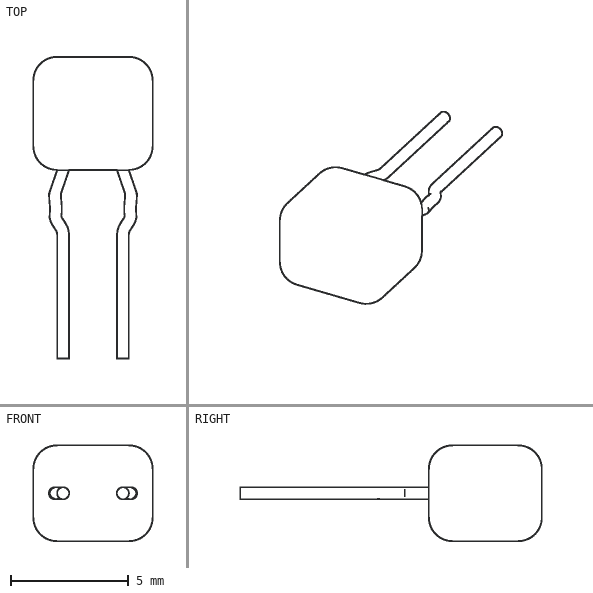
import cadquery as cq

total_length = 12.84
housing_width = 5.08
housing_length = 4.82
housing_height = 4.08
edge_radius = 1.01

wire_diameter = 0.51
lead_offset = 1.27
knee_offset = 1.62
knee_distance = 1.01
crimp_offset = 1.59
crimp_distance = 1.87
straight_distance = 2.75
lead_length = total_length - housing_length
crimp_flare = 0.2


def make_housing():
    """Block with every edge rounded; its front face lies on Y = 0."""
    block = cq.Workplane("XY").box(
        housing_width, housing_length, housing_height, centered=(True, False, True)
    )
    return block.edges().fillet(edge_radius)


def sweep_wire(path, section):
    """Sweep the round wire section along one stretch of the lead."""
    return section.circle(wire_diameter / 2).sweep(cq.Workplane(path))


def make_lead(side):
    """Kinked lead running forward (-Y); side is -1 for the left lead and +1 for the right."""
    root = cq.Vector(side * lead_offset, 0, 0)
    knee = cq.Vector(side * knee_offset, -knee_distance, 0)
    crimp = cq.Vector(side * crimp_offset, -crimp_distance, 0)
    straight_start = cq.Vector(side * lead_offset, -straight_distance, 0)
    tip = cq.Vector(side * lead_offset, -lead_length, 0)

    forward = cq.Vector(0, -1, 0)
    flared = cq.Vector(side * crimp_flare, -1, 0).normalized()

    def section_at(point, normal):
        return cq.Workplane(cq.Plane(origin=point, xDir=(0, 0, 1), normal=normal))

    splay = sweep_wire(cq.Edge.makeLine(root, knee), section_at(root, forward))
    outer_bend = sweep_wire(
        cq.Edge.makeSpline([knee, crimp], tangents=[forward, flared]), section_at(knee, forward)
    )
    return_bend = sweep_wire(
        cq.Edge.makeSpline([crimp, straight_start], tangents=[flared, forward]),
        section_at(crimp, flared),
    )
    straight = sweep_wire(cq.Edge.makeLine(straight_start, tip), section_at(straight_start, forward))
    return splay.union(outer_bend).union(return_bend).union(straight)


housing = make_housing()
leads = [make_lead(side) for side in (-1, 1)]

result = cq.Compound.makeCompound([housing.solids().val(), *[lead.solids().val() for lead in leads]])